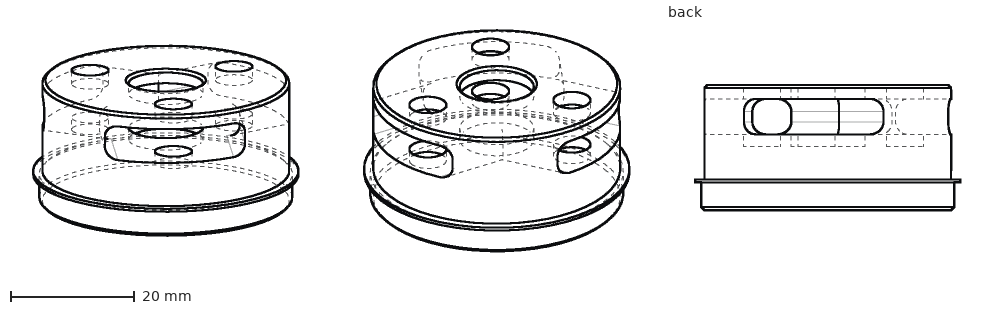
import cadquery as cq

total_height = 20.3
base_radius = 20.5
base_height = 4.5
flange_radius = 21.5
flange_thickness = 0.5
body_radius = 20.0
top_chamfer = 0.5
base_chamfer = 0.5

arm_count = 3
first_arm_angle = 82.0
roof_thickness = 2.3
window_height = 5.7
window_width = 22.8
window_corner_radius = 2.0

hole_depth = 10.0
centre_hole_diameter = 12.0
centre_hole_chamfer = 0.5
arm_hole_diameter = 6.0
arm_hole_pitch_radius = 13.5

arm_angles = [first_arm_angle + i * 360.0 / arm_count for i in range(arm_count)]


def make_body():
    """Stepped cylinder: chamfered base, thin flange and chamfered upper body."""
    base = (
        cq.Workplane("XY")
        .circle(base_radius)
        .extrude(base_height)
        .faces("<Z")
        .chamfer(base_chamfer)
    )
    flange = (
        cq.Workplane("XY", origin=(0, 0, base_height))
        .circle(flange_radius)
        .extrude(flange_thickness)
    )
    flange_top = base_height + flange_thickness
    upper = (
        cq.Workplane("XY", origin=(0, 0, flange_top))
        .circle(body_radius)
        .extrude(total_height - flange_top)
        .faces(">Z")
        .chamfer(top_chamfer)
    )
    return base.union(flange).union(upper)


def make_window(angle):
    """Round-cornered slot running from the axis out past the rim at the given angle."""
    window_centre_z = total_height - roof_thickness - window_height / 2
    return (
        cq.Workplane("XY", origin=(0, 0, window_centre_z))
        .box(flange_radius, window_width, window_height, centered=(False, True, True))
        .edges("|X")
        .fillet(window_corner_radius)
        .rotate((0, 0, 0), (0, 0, 1), angle)
    )


def make_arm_hole(angle):
    """Drill volume of the hole in the middle of the window at the given angle."""
    return (
        cq.Workplane("XY", origin=(0, 0, total_height - hole_depth))
        .center(arm_hole_pitch_radius, 0)
        .circle(arm_hole_diameter / 2)
        .extrude(hole_depth)
        .rotate((0, 0, 0), (0, 0, 1), angle)
    )


def make_centre_hole():
    """Drill volume of the centre hole, with a countersunk mouth at the top face."""
    radius = centre_hole_diameter / 2
    mouth_radius = radius + centre_hole_chamfer
    mouth_bottom = total_height - centre_hole_chamfer
    hole_bottom = total_height - hole_depth
    return (
        cq.Workplane("XZ")
        .moveTo(0, hole_bottom)
        .lineTo(radius, hole_bottom)
        .lineTo(radius, mouth_bottom)
        .lineTo(mouth_radius, total_height)
        .lineTo(0, total_height)
        .close()
        .revolve(360, (0, 0, 0), (0, 1, 0))
    )


result = make_body()
for arm_angle in arm_angles:
    result = result.cut(make_window(arm_angle))
    result = result.cut(make_arm_hole(arm_angle))
result = result.cut(make_centre_hole())